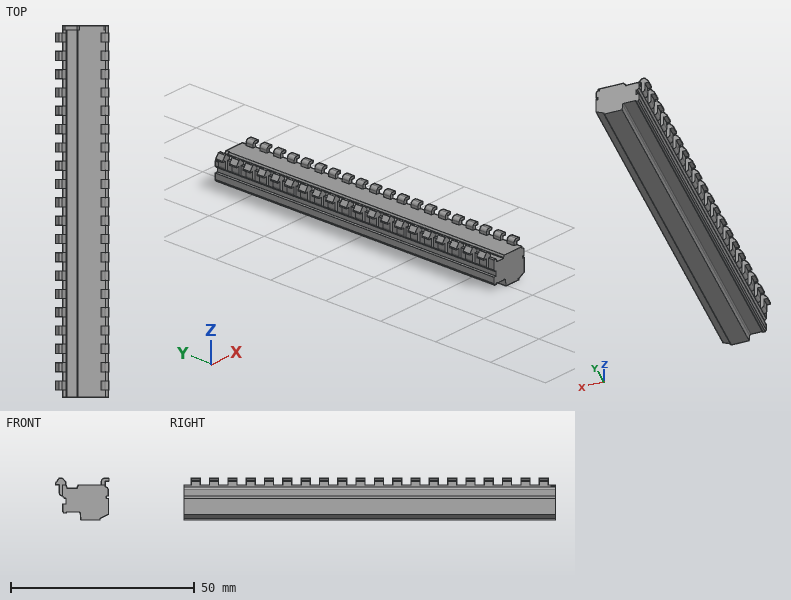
import cadquery as cq

length = 101.5
width = 14.7
height = 11.5
half_width = width / 2
half_height = height / 2

foot_z = -half_height
top_z = 3.9
slot_floor_z = 2.9
wall_foot_z = 0.8

wall_x = -5.4
web_x = -4.5
slot_right_x = -1.4
shoulder_x = 6.3

wall_slope_drop = 0.6
wall_slope_run = 0.5
slot_slope_run = 0.3
slot_riser = 0.3
ledge_z = -1.3
lip_foot_z = -3.9
lip_chamfer_run = 0.3
lip_chamfer_rise = 0.6
lip_width = 1.0
underside_z = -3.6
foot_left_x = -0.4
foot_draft = 0.2
foot_right_x = 4.9
foot_fillet = 0.4
foot_edge_height = 0.4
right_face_x = 7.2
right_face_foot_z = -4.2
notch_x = 6.6
notch_top_z = 0.8
notch_bottom_z = 0.2
brow_x = 7.1
brow_top_z = 3.3

end_step_length = 1.2
end_floor_z = 2.8
end_wall_chamfer_run = 0.6
end_wall_chamfer_drop = 0.5
end_slope_run = 0.6
end_edge_chamfer = 0.3

clip_count = 20
clip_span = 95.0
clip_width = 2.5
left_strip_thickness = 0.9
right_strip_thickness = 1.1
arm_thickness = 0.9
clip_bend_radius = 1.0
clip_tip_chamfer = 0.2
head_tip_height = 0.4
head_flat_left_x = -6.3
head_flat_right_x = -5.5
head_shoulder_z = 4.7

clip_pitch = clip_span / (clip_count - 1)
clip_centres = [-clip_span / 2 + i * clip_pitch for i in range(clip_count)]
brow_radius = brow_x - shoulder_x
foot_top_x = foot_left_x - foot_draft


def section_at(y):
    """XZ sketch plane at y; positive extrusion runs toward -Y."""
    return cq.Workplane("XZ", origin=(0, y, 0))


def make_body():
    """Constant-section bar with a grooved left side and a foot below."""
    outline = (
        section_at(length / 2)
        .moveTo(foot_left_x, foot_z)
        .lineTo(foot_right_x, foot_z)
        .lineTo(foot_right_x, foot_z + foot_edge_height)
        .lineTo(right_face_x, right_face_foot_z)
        .lineTo(right_face_x, notch_bottom_z)
        .lineTo(notch_x, notch_bottom_z)
        .lineTo(notch_x, notch_top_z)
        .lineTo(brow_x, notch_top_z)
        .lineTo(brow_x, brow_top_z - brow_radius)
        .radiusArc((shoulder_x, brow_top_z), -brow_radius)
        .lineTo(shoulder_x, top_z)
        .lineTo(slot_right_x + slot_slope_run, top_z)
        .lineTo(slot_right_x, slot_floor_z + slot_riser)
        .lineTo(slot_right_x, slot_floor_z)
        .lineTo(web_x + slot_slope_run, slot_floor_z)
        .lineTo(web_x + slot_slope_run, slot_floor_z + slot_riser)
        .lineTo(web_x, top_z)
        .lineTo(wall_x, top_z)
        .lineTo(wall_x, wall_foot_z)
        .lineTo(wall_x + wall_slope_run, wall_foot_z - wall_slope_drop)
        .lineTo(web_x, wall_foot_z - wall_slope_drop)
        .lineTo(web_x, ledge_z)
        .lineTo(wall_x, ledge_z)
        .lineTo(wall_x, lip_foot_z + lip_chamfer_rise)
        .lineTo(wall_x + lip_chamfer_run, lip_foot_z)
        .lineTo(wall_x + lip_width, lip_foot_z)
        .lineTo(wall_x + lip_width, underside_z)
        .lineTo(foot_top_x, underside_z)
        .close()
    )
    foot_corner = cq.NearestToPointSelector((foot_top_x, 0, underside_z))
    return outline.extrude(length).edges(foot_corner).fillet(foot_fillet)


def make_end_step():
    """Material removed above the +Y end: the slot runs out through the left wall."""
    slot_cut = (
        section_at(length / 2)
        .polyline([
            (wall_x, end_floor_z - end_wall_chamfer_drop),
            (wall_x + end_wall_chamfer_run, end_floor_z),
            (slot_right_x, end_floor_z),
            (slot_right_x, end_floor_z + slot_riser),
            (slot_right_x + end_slope_run, top_z),
            (wall_x, top_z),
        ])
        .close()
        .extrude(end_step_length)
    )
    edge_cut = (
        section_at(length / 2)
        .polyline([
            (shoulder_x, top_z),
            (shoulder_x - end_edge_chamfer, top_z),
            (shoulder_x, top_z - end_edge_chamfer),
        ])
        .close()
        .extrude(end_step_length)
    )
    return slot_cut.union(edge_cut)


def make_left_clip(y):
    """Strip on the left wall carrying a barbed head."""
    strip_x = wall_x - left_strip_thickness
    return (
        section_at(y + clip_width / 2)
        .moveTo(wall_x, wall_foot_z)
        .radiusArc((strip_x, wall_foot_z + left_strip_thickness), left_strip_thickness)
        .lineTo(strip_x, top_z)
        .lineTo(-half_width, top_z)
        .lineTo(-half_width, top_z + head_tip_height)
        .lineTo(head_flat_left_x, half_height)
        .lineTo(head_flat_right_x, half_height)
        .lineTo(web_x, head_shoulder_z)
        .lineTo(web_x, top_z)
        .lineTo(wall_x, top_z)
        .close()
        .extrude(clip_width)
    )


def make_right_clip(y):
    """Upright strip on the top face, bent outward at its upper end."""
    strip_left_x = shoulder_x - right_strip_thickness
    arm_foot_z = half_height - arm_thickness
    return (
        section_at(y + clip_width / 2)
        .moveTo(shoulder_x, top_z)
        .lineTo(strip_left_x, top_z)
        .lineTo(strip_left_x, half_height - clip_bend_radius)
        .radiusArc((strip_left_x + clip_bend_radius, half_height), clip_bend_radius)
        .lineTo(half_width - clip_tip_chamfer, half_height)
        .lineTo(half_width, half_height - clip_tip_chamfer)
        .lineTo(half_width, arm_foot_z + clip_tip_chamfer)
        .lineTo(half_width - clip_tip_chamfer, arm_foot_z)
        .lineTo(shoulder_x, arm_foot_z)
        .close()
        .extrude(clip_width)
    )


result = make_body().cut(make_end_step())
for clip_y in clip_centres:
    result = result.union(make_left_clip(clip_y))
    result = result.union(make_right_clip(clip_y))